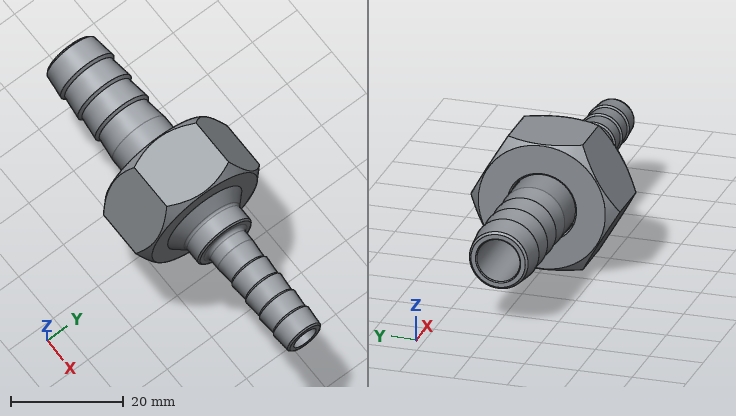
import cadquery as cq
import math


across_flats = 24.0
nut_start_x = 25.5
nut_length = 13.5
nut_end_x = nut_start_x + nut_length
nut_face_diameter = 23.6
nut_wall = 4.0
nut_hole_diameter = 12.3
nut_hole_chamfer = 0.3
nut_bore_diameter = 16.6

large_diameter = 12.0
large_bore = 8.0
large_bore_chamfer = 0.2
large_barb_count = 4
large_barb_pitch = 5.0
large_root_diameter = 10.9
large_step_length = 0.5
large_mouth_chamfer = 0.4
collar_start_x = nut_start_x + nut_wall
collar_length = 3.0
collar_end_x = collar_start_x + collar_length

overall_length = 68.0
plug_diameter = nut_bore_diameter
shoulder_diameter = 12.0
shoulder_end_x = 45.0
shoulder_chamfer = 0.3
small_diameter = 8.0
small_bore = 5.0
small_barb_count = 5
small_barb_pitch = 4.0
small_root_diameter = 7.4
small_step_length = 0.4
small_mouth_chamfer = 0.3
neck_fillet = 0.8
funnel_angle = 60.0


def revolve_about_x(profile):
    """Turn a closed (x, radius) profile in the XZ plane a full turn about the X axis."""
    return profile.close().revolve(360, (0, 0, 0), (1, 0, 0))


def barb_outline(mouth_x, inward, count, pitch, crest_radius, root_radius, step, chamfer):
    """Points from the mouth to the crest of the last barb.

    inward is +1 or -1, the X direction that leads from the mouth into the fitting.
    """
    points = [
        (mouth_x, root_radius - chamfer),
        (mouth_x + inward * chamfer, root_radius),
    ]
    for barb in range(1, count + 1):
        crest_x = mouth_x + inward * barb * pitch
        points.append((crest_x, crest_radius))
        if barb < count:
            points.append((crest_x + inward * step, root_radius))
    return points


def make_nut():
    across_corners = across_flats / math.cos(math.pi / 6)
    hexagon = (
        cq.Workplane("YZ")
        .workplane(offset=nut_start_x)
        .polygon(6, across_corners)
        .extrude(nut_length)
    )

    blank_radius = across_corners / 2 + 1.0
    corner_chamfer = blank_radius - nut_face_diameter / 2
    blank = (
        cq.Workplane("YZ")
        .workplane(offset=nut_start_x)
        .circle(blank_radius)
        .extrude(nut_length)
        .edges()
        .chamfer(corner_chamfer)
    )

    hole_radius = nut_hole_diameter / 2
    opening = revolve_about_x(
        cq.Workplane("XZ").polyline([
            (nut_start_x, 0),
            (nut_start_x, hole_radius + nut_hole_chamfer),
            (nut_start_x + nut_hole_chamfer, hole_radius),
            (collar_start_x, hole_radius),
            (collar_start_x, nut_bore_diameter / 2),
            (nut_end_x, nut_bore_diameter / 2),
            (nut_end_x, 0),
        ])
    )
    return hexagon.intersect(blank).cut(opening)


def make_large_tail():
    bore_radius = large_bore / 2
    barbs = barb_outline(
        0, 1, large_barb_count, large_barb_pitch, large_diameter / 2,
        large_root_diameter / 2, large_step_length, large_mouth_chamfer,
    )
    profile = cq.Workplane("XZ").polyline([
        (large_bore_chamfer, bore_radius),
        (0, bore_radius + large_bore_chamfer),
        *barbs,
        (collar_start_x, large_diameter / 2),
        (collar_start_x, nut_bore_diameter / 2),
        (collar_end_x, nut_bore_diameter / 2),
        (collar_end_x, bore_radius),
    ])
    return revolve_about_x(profile)


def make_small_tail():
    plug_radius = plug_diameter / 2
    shoulder_radius = shoulder_diameter / 2
    tail_radius = small_diameter / 2
    bore_radius = small_bore / 2
    entry_radius = large_bore / 2

    taper_foot_x = nut_end_x + plug_radius - shoulder_radius
    blend_reach = neck_fillet * math.tan(math.pi / 8)
    slope = math.sqrt(0.5)
    taper_end = (taper_foot_x - blend_reach * slope, shoulder_radius + blend_reach * slope)
    blend_end_x = taper_foot_x + blend_reach
    blend_middle = (
        blend_end_x - neck_fillet * math.sin(math.pi / 8),
        shoulder_radius + neck_fillet * (1 - math.cos(math.pi / 8)),
    )

    neck_start = (shoulder_end_x, tail_radius + neck_fillet)
    neck_middle = (
        shoulder_end_x + neck_fillet * (1 - slope),
        tail_radius + neck_fillet * (1 - slope),
    )
    neck_end = (shoulder_end_x + neck_fillet, tail_radius)

    barbs = barb_outline(
        overall_length, -1, small_barb_count, small_barb_pitch, tail_radius,
        small_root_diameter / 2, small_step_length, small_mouth_chamfer,
    )

    profile = (
        cq.Workplane("XZ")
        .moveTo(collar_end_x, entry_radius)
        .lineTo(collar_end_x, plug_radius)
        .lineTo(nut_end_x, plug_radius)
        .lineTo(*taper_end)
        .threePointArc(blend_middle, (blend_end_x, shoulder_radius))
        .lineTo(shoulder_end_x - shoulder_chamfer, shoulder_radius)
        .lineTo(shoulder_end_x, shoulder_radius - shoulder_chamfer)
        .lineTo(*neck_start)
        .threePointArc(neck_middle, neck_end)
    )
    for point in reversed(barbs):
        profile = profile.lineTo(*point)

    funnel_length = (entry_radius - bore_radius) / math.tan(math.radians(funnel_angle / 2))
    profile = (
        profile
        .lineTo(overall_length, bore_radius)
        .lineTo(collar_end_x + funnel_length, bore_radius)
    )
    return revolve_about_x(profile)


nut = make_nut()
large_tail = make_large_tail()
small_tail = make_small_tail()

result = cq.Compound.makeCompound([nut.val(), large_tail.val(), small_tail.val()])